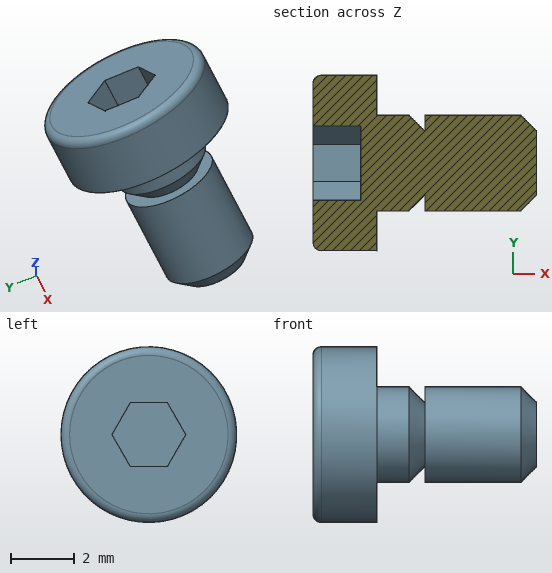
import cadquery as cq
import math

total_length = 7.0
head_diameter = 5.5
head_length = 2.0
head_fillet = 0.27
shank_diameter = 3.0
neck_length = 1.0
taper = 0.5
hex_across_flats = 2.0
hex_depth = 1.5

head_radius = head_diameter / 2
shank_radius = shank_diameter / 2
small_radius = shank_radius - taper
head_face_x = -total_length / 2
tip_x = total_length / 2
shoulder_x = head_face_x + head_length
neck_end_x = shoulder_x + neck_length
groove_x = neck_end_x + taper


def make_body():
    """Revolve the half section: head, neck, undercut and chamfered shank."""
    section = (
        cq.Workplane("XY")
        .moveTo(head_face_x, 0)
        .lineTo(head_face_x, head_radius)
        .lineTo(shoulder_x, head_radius)
        .lineTo(shoulder_x, shank_radius)
        .lineTo(neck_end_x, shank_radius)
        .lineTo(groove_x, small_radius)
        .lineTo(groove_x, shank_radius)
        .lineTo(tip_x - taper, shank_radius)
        .lineTo(tip_x, small_radius)
        .lineTo(tip_x, 0)
        .close()
    )
    body = section.revolve(360, (0, 0, 0), (1, 0, 0))
    return body.faces("<X").edges().fillet(head_fillet)


def make_hex_socket():
    """Hexagonal prism with corners on the Y axis and flats facing Z."""
    across_corners = hex_across_flats / math.cos(math.pi / 6)
    return (
        cq.Workplane("YZ", origin=(head_face_x, 0, 0))
        .polygon(6, across_corners)
        .extrude(hex_depth)
    )


result = make_body().cut(make_hex_socket())